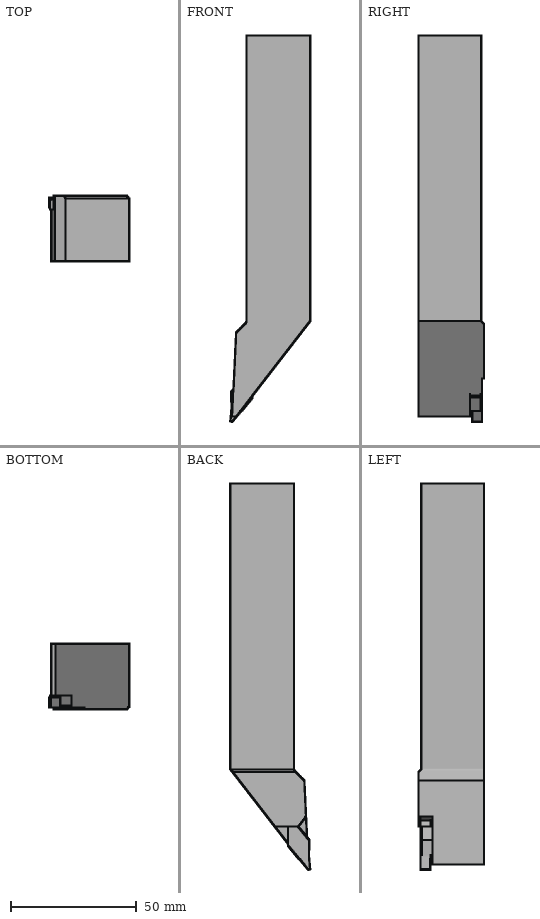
import cadquery as cq


TOTAL_LENGTH = 153.8
SHANK_WIDTH_X = 25.4
SHANK_WIDTH_Y = 25.0
HEAD_WIDTH_Y = 26.1
SHOULDER_Z = 39.7
SHOULDER_SIZE = 4.2
SHOULDER_FILLET = 1.5
FLANK_END = (-5.7, 2.9)
NOSE_Z = 2.2
NOSE_BACK_X = -4.0
BACK_SLOPE_Z = 40.1

PAD_TOP_Z = 38.9
PAD_BOTTOM_Z = 17.2
PAD_CORNER_X = -1.7

INSERT_CENTER = (-1.8, 10.8)
INSERT_CORNER = (-6.0, 11.8)
NOSE_TIP = (-5.7, 0)
LIP_X = -6.5
LIP_BOTTOM_Z = 0.3
LIP_TOP_Z = 5.2
BLADE_WIDTH = 4.0
BLADE_TOP_Y = 25.4
CORE_FLOOR_Y = 20.6
CORE_WIDTH = 4.0
CORE_HALF_LENGTH = 6.5
CORE_PROUD = 0.2

POCKET_TOP_Z = 21.2
POCKET_APEX = (0.8, 19.5)
POCKET_MOUTH_X = -4.8

CUT_MARGIN = 4.6


def prism(points, y_start, y_end):
    """Extrude an outline of (X, Z) points from y_start to y_end."""
    outline = cq.Workplane("XZ", origin=(0, y_start, 0)).polyline(points).close()
    return outline.extrude(y_start - y_end)


def half_turn(point):
    """Turn an (X, Z) point by half a turn about the insert centre."""
    return (2 * INSERT_CENTER[0] - point[0], 2 * INSERT_CENTER[1] - point[1])


def both_ends(points):
    """Complete half an insert outline with its half-turned copy."""
    return points + [half_turn(point) for point in points]


def make_insert():
    blade_outline = both_ends([
        NOSE_TIP,
        (LIP_X, LIP_BOTTOM_Z),
        (INSERT_CORNER[0], LIP_TOP_Z),
        INSERT_CORNER,
    ])
    blade = prism(blade_outline, BLADE_TOP_Y - BLADE_WIDTH, BLADE_TOP_Y)

    core = (
        cq.Workplane("XZ", origin=(0, CORE_FLOOR_Y, 0))
        .polyline(both_ends([NOSE_TIP, INSERT_CORNER]))
        .close()
        .offset2D(CORE_PROUD, "intersection")
        .extrude(-CORE_WIDTH)
    )
    center = (INSERT_CENTER[0], 0, INSERT_CENTER[1])
    core_length_limit = cq.Workplane("XY", origin=center).box(
        TOTAL_LENGTH, TOTAL_LENGTH, 2 * CORE_HALF_LENGTH
    )
    return blade.union(core.intersect(core_length_limit)).solids()


def make_holder(insert):
    shoulder_corner = (-SHOULDER_SIZE, SHOULDER_Z - SHOULDER_SIZE)
    outline = [
        (0, SHOULDER_Z),
        shoulder_corner,
        FLANK_END,
        (FLANK_END[0], NOSE_Z),
        (NOSE_BACK_X, NOSE_Z),
        (SHANK_WIDTH_X, BACK_SLOPE_Z),
        (SHANK_WIDTH_X, TOTAL_LENGTH),
        (0, TOTAL_LENGTH),
    ]
    holder = prism(outline, 0, HEAD_WIDTH_Y)
    holder = holder.edges(
        cq.selectors.NearestToPointSelector((0, HEAD_WIDTH_Y / 2, SHOULDER_Z))
    ).fillet(SHOULDER_FILLET)

    above_pad = (
        cq.Workplane("YZ", origin=(-CUT_MARGIN, 0, 0))
        .polyline([
            (HEAD_WIDTH_Y, PAD_TOP_Z),
            (SHANK_WIDTH_Y, PAD_TOP_Z + HEAD_WIDTH_Y - SHANK_WIDTH_Y),
            (SHANK_WIDTH_Y, TOTAL_LENGTH),
            (HEAD_WIDTH_Y, TOTAL_LENGTH),
        ])
        .close()
        .extrude(SHANK_WIDTH_X + 2 * CUT_MARGIN)
    )
    holder = holder.cut(above_pad)

    outside_x = LIP_X - CUT_MARGIN
    below_pad = prism([
        (outside_x, POCKET_TOP_Z),
        (POCKET_MOUTH_X, POCKET_TOP_Z),
        (PAD_CORNER_X, PAD_BOTTOM_Z),
        (SHANK_WIDTH_X, PAD_BOTTOM_Z),
        (SHANK_WIDTH_X, -CUT_MARGIN),
        (outside_x, -CUT_MARGIN),
    ], BLADE_TOP_Y, HEAD_WIDTH_Y)
    holder = holder.cut(below_pad)

    back_corner = half_turn(INSERT_CORNER)
    pocket = prism([
        (outside_x, POCKET_TOP_Z),
        (POCKET_MOUTH_X, POCKET_TOP_Z),
        POCKET_APEX,
        back_corner,
        (back_corner[0], -CUT_MARGIN),
        (outside_x, -CUT_MARGIN),
    ], CORE_FLOOR_Y, BLADE_TOP_Y)
    return holder.cut(pocket).cut(insert).solids()


insert = make_insert()
holder = make_holder(insert)
result = cq.Compound.makeCompound([holder.val(), insert.val()])